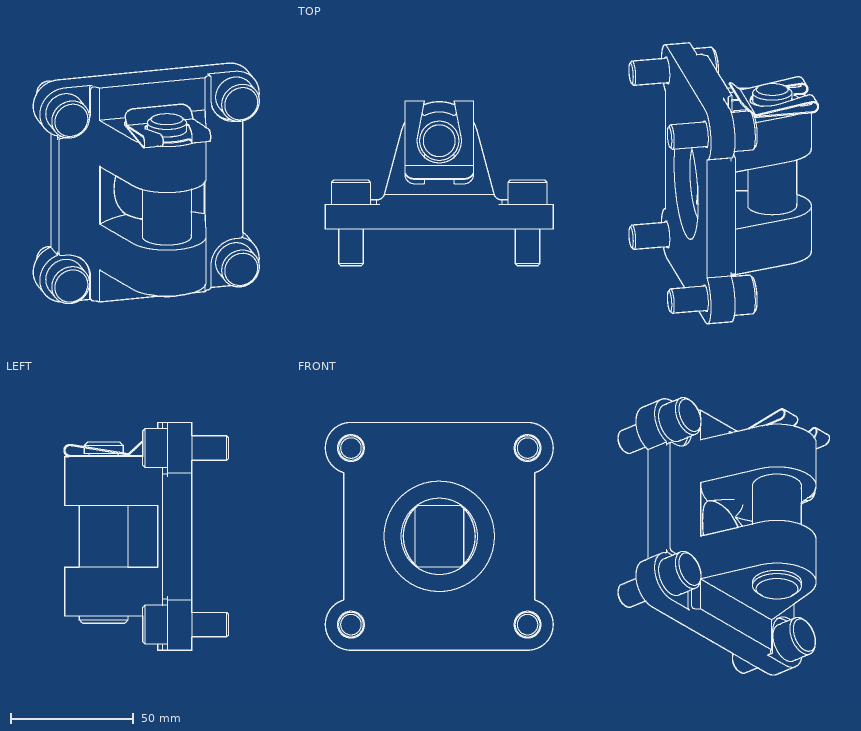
import cadquery as cq
import math


PLATE_WIDTH = 77.9
PLATE_HEIGHT = 93.0
PLATE_THICKNESS = 12.0
SCREW_PITCH = 72.0
EAR_RADIUS = (PLATE_HEIGHT - SCREW_PITCH) / 2
EAR_THICKNESS = 10.0
SEAT_ENTRY_RADIUS = 1.0
SCREW_HOLE_DIAMETER = 11.0

PIN_Y = 36.0
PIN_DIAMETER = 20.0
ARM_TIP_RADIUS = 16.0
ARM_DRAFT = math.radians(15)
ARM_FOOT_RADIUS = 3.0
ARM_GAP = 25.0
ARM_THICKNESS = 20.0
ARM_TOP = ARM_GAP / 2 + ARM_THICKNESS
PAD_TOP = 14.0
SWIVEL_RADIUS = 31.0

COUNTERBORE_DIAMETER = 45.0
COUNTERBORE_DEPTH = 5.0
COUNTERBORE_FILLET = 1.0
CONE_DIAMETER = 31.2
CONE_ANGLE = math.radians(15)

PIN_BOTTOM = -35.5
PIN_TOP = 38.5
PIN_CHAMFER = 1.5
NECK_DIAMETER = 12.0
NECK_LENGTH = 1.2
HEAD_DIAMETER = 16.0

SCREW_DIAMETER = 10.0
SCREW_TIP_Y = -15.0
SCREW_TIP_CHAMFER = 0.8
SCREW_HEAD_DIAMETER = 16.0
SCREW_HEAD_HEIGHT = 10.0
SCREW_HEAD_CHAMFER = 1.0

CLIP_WIDTH = 28.0
CLIP_SHEET = 0.5
LOOP_INNER_RADIUS = 2.0
LOOP_OUTER_RADIUS = LOOP_INNER_RADIUS + CLIP_SHEET
LOOP_Y = 49.8
LOOP_Z = ARM_TOP + LOOP_OUTER_RADIUS
LOWER_LEAF_END_Y = 18.4
UPPER_LEAF_ANGLE = math.radians(9.2)
BEND_Y = 25.8
LIP_ANGLE = math.radians(43)
LIP_END_Y = 20.3
CLIP_CORNER_RADIUS = 4.0
FORK_CORNER_RADIUS = 0.5
HEAD_HOLE_DIAMETER = 18.0
THROAT_ANGLE = math.radians(11)
RIM_RADIUS = 11.8
RIM_CORNER_RADIUS = 1.0

CORNERS = [(sx, sz) for sx in (-1, 1) for sz in (-1, 1)]


def disc(x, z, radius, y_start, y_end):
    """A cylinder along Y."""
    plane = cq.Workplane("XZ", origin=(x, y_start, z))
    return plane.circle(radius).extrude(y_start - y_end)


def block(x_range, y_range, z_range):
    """A box given by its limits along each axis."""
    spans = (x_range, y_range, z_range)
    sizes = [high - low for low, high in spans]
    middles = [(high + low) / 2 for low, high in spans]
    return cq.Workplane("XY").box(*sizes).translate(tuple(middles))



def make_plate():
    """Cross of two full-thickness slabs with a round ear filling each corner."""
    plate = cq.Workplane("XZ").rect(PLATE_WIDTH, SCREW_PITCH).extrude(-PLATE_THICKNESS)
    plate = plate.union(cq.Workplane("XZ").rect(SCREW_PITCH, PLATE_HEIGHT).extrude(-PLATE_THICKNESS))
    for sx, sz in CORNERS:
        plate = plate.union(disc(sx * SCREW_PITCH / 2, sz * SCREW_PITCH / 2, EAR_RADIUS, 0, EAR_THICKNESS))
    return plate


def make_arms():
    """The pad and both arms, swept from one outline with drafted flanks and rounded feet."""
    cos_draft = math.cos(ARM_DRAFT)
    sin_draft = math.sin(ARM_DRAFT)
    tip_x = ARM_TIP_RADIUS * cos_draft
    tip_y = PIN_Y + ARM_TIP_RADIUS * sin_draft
    foot_centre_y = PLATE_THICKNESS + ARM_FOOT_RADIUS
    foot_centre_x = (ARM_TIP_RADIUS + ARM_FOOT_RADIUS + (PIN_Y - foot_centre_y) * sin_draft) / cos_draft
    flank_x = foot_centre_x - ARM_FOOT_RADIUS * cos_draft
    flank_y = foot_centre_y - ARM_FOOT_RADIUS * sin_draft
    middle_angle = math.pi / 4 + ARM_DRAFT / 2
    middle_x = foot_centre_x - ARM_FOOT_RADIUS * math.cos(middle_angle)
    middle_y = foot_centre_y - ARM_FOOT_RADIUS * math.sin(middle_angle)

    outline = (
        cq.Workplane("XY", origin=(0, 0, -PLATE_HEIGHT / 2))
        .moveTo(-foot_centre_x, EAR_THICKNESS)
        .lineTo(foot_centre_x, EAR_THICKNESS)
        .lineTo(foot_centre_x, PLATE_THICKNESS)
        .threePointArc((middle_x, middle_y), (flank_x, flank_y))
        .lineTo(tip_x, tip_y)
        .threePointArc((0, PIN_Y + ARM_TIP_RADIUS), (-tip_x, tip_y))
        .lineTo(-flank_x, flank_y)
        .threePointArc((-middle_x, middle_y), (-foot_centre_x, PLATE_THICKNESS))
        .close()
    )
    arms = outline.extrude(PLATE_HEIGHT)

    across = (-PLATE_WIDTH / 2, PLATE_WIDTH / 2)
    beyond_pad = (PAD_TOP, PIN_Y + 2 * ARM_TIP_RADIUS)
    arms = arms.cut(block(across, beyond_pad, (ARM_TOP, PLATE_HEIGHT)))
    arms = arms.cut(block(across, beyond_pad, (-PLATE_HEIGHT, -ARM_TOP)))
    return arms.cut(block(across, beyond_pad, (-ARM_GAP / 2, ARM_GAP / 2)))


def make_screw_seat():
    """Tool for the recess around the screw at +X +Z, open at both plate edges."""
    axis = SCREW_PITCH / 2
    wall = axis - EAR_RADIUS
    seat_height = PAD_TOP - EAR_THICKNESS
    side = PLATE_WIDTH / 2
    top = PLATE_HEIGHT / 2
    r = SEAT_ENTRY_RADIUS
    r_mid = r * math.sqrt(0.5)
    far = top + SEAT_ENTRY_RADIUS
    return (
        cq.Workplane("XZ", origin=(0, EAR_THICKNESS, 0))
        .moveTo(wall, axis)
        .lineTo(wall, top - r)
        .threePointArc((wall - r + r_mid, top - r + r_mid), (wall - r, top))
        .lineTo(wall - r, far)
        .lineTo(far, far)
        .lineTo(far, wall - r)
        .lineTo(side, wall - r)
        .threePointArc((side - r + r_mid, wall - r + r_mid), (side - r, wall))
        .lineTo(axis, wall)
        .threePointArc(
            (axis - EAR_RADIUS * math.sqrt(0.5), axis - EAR_RADIUS * math.sqrt(0.5)), (wall, axis)
        )
        .close()
        .extrude(-seat_height)
    )


def make_opening():
    """Tool for the filleted counterbore and the cone that narrows behind it."""
    counterbore = disc(0, 0, COUNTERBORE_DIAMETER / 2, 0, COUNTERBORE_DEPTH)
    counterbore = counterbore.faces(">Y").edges().fillet(COUNTERBORE_FILLET)
    cone_length = (CONE_DIAMETER - ARM_GAP) / 2 / math.tan(CONE_ANGLE)
    cone = cq.Solid.makeCone(
        CONE_DIAMETER / 2, ARM_GAP / 2, cone_length,
        pnt=cq.Vector(0, COUNTERBORE_DEPTH, 0), dir=cq.Vector(0, 1, 0),
    )
    return counterbore.union(cq.Workplane(cone))


def make_bracket():
    bracket = make_plate().union(make_arms())
    seat = make_screw_seat()
    for sx, sz in CORNERS:
        placed = seat
        if sx < 0:
            placed = placed.mirror("YZ")
        if sz < 0:
            placed = placed.mirror("XY")
        bracket = bracket.cut(placed)
        hole = disc(sx * SCREW_PITCH / 2, sz * SCREW_PITCH / 2, SCREW_HOLE_DIAMETER / 2, 0, EAR_THICKNESS)
        bracket = bracket.cut(hole)
    swivel = cq.Workplane("XY").center(0, PIN_Y).circle(SWIVEL_RADIUS).extrude(ARM_GAP / 2, both=True)
    pin_hole = cq.Workplane("XY").center(0, PIN_Y).circle(PIN_DIAMETER / 2).extrude(ARM_TOP, both=True)
    return bracket.cut(swivel).cut(make_opening()).cut(pin_hole)



def make_pin():
    """Pin through both arms, with a neck for the clip and a smaller head above it."""
    radius = PIN_DIAMETER / 2
    neck = NECK_DIAMETER / 2
    head = HEAD_DIAMETER / 2
    head_bottom = ARM_TOP + NECK_LENGTH
    half_section = [
        (0, PIN_BOTTOM),
        (radius - PIN_CHAMFER, PIN_BOTTOM),
        (radius, PIN_BOTTOM + PIN_CHAMFER),
        (radius, ARM_TOP),
        (neck, ARM_TOP),
        (neck, head_bottom),
        (head, head_bottom),
        (head, PIN_TOP - PIN_CHAMFER),
        (head - PIN_CHAMFER, PIN_TOP),
        (0, PIN_TOP),
    ]
    pin = cq.Workplane("XZ").polyline(half_section).close().revolve(360, (0, 0), (0, 1))
    return pin.translate((0, PIN_Y, 0))



def make_screw(x, z):
    """Cap screw along Y, its head seated on the ear."""
    shank = disc(x, z, SCREW_DIAMETER / 2, SCREW_TIP_Y, EAR_THICKNESS)
    shank = shank.faces("<Y").chamfer(SCREW_TIP_CHAMFER)
    head = disc(x, z, SCREW_HEAD_DIAMETER / 2, EAR_THICKNESS, EAR_THICKNESS + SCREW_HEAD_HEIGHT)
    head = head.faces(">Y").chamfer(SCREW_HEAD_CHAMFER)
    return shank.union(head)



def make_clip_strip():
    """The bent sheet before it is pierced: lower leaf, loop, sloping upper leaf and raised lip."""
    sin_leaf = math.sin(UPPER_LEAF_ANGLE)
    cos_leaf = math.cos(UPPER_LEAF_ANGLE)

    def on_loop(radius):
        """Point where the upper leaf leaves the loop."""
        return (LOOP_Y - radius * sin_leaf, LOOP_Z + radius * cos_leaf)

    inner_start = on_loop(LOOP_INNER_RADIUS)
    outer_start = on_loop(LOOP_OUTER_RADIUS)
    bend_bottom = (BEND_Y, inner_start[1] - (inner_start[0] - BEND_Y) * math.tan(UPPER_LEAF_ANGLE))
    half_turn = (LIP_ANGLE + UPPER_LEAF_ANGLE) / 2
    mitre = CLIP_SHEET / math.cos(half_turn)
    mitre_lean = (LIP_ANGLE - UPPER_LEAF_ANGLE) / 2
    bend_top = (bend_bottom[0] + mitre * math.sin(mitre_lean), bend_bottom[1] + mitre * math.cos(mitre_lean))
    lip_bottom = (LIP_END_Y, bend_bottom[1] + (BEND_Y - LIP_END_Y) * math.tan(LIP_ANGLE))
    lip_top = (
        lip_bottom[0] + CLIP_SHEET * math.sin(LIP_ANGLE),
        lip_bottom[1] + CLIP_SHEET * math.cos(LIP_ANGLE),
    )
    return (
        cq.Workplane("YZ", origin=(-CLIP_WIDTH / 2, 0, 0))
        .moveTo(LOWER_LEAF_END_Y, ARM_TOP)
        .lineTo(LOOP_Y, ARM_TOP)
        .threePointArc((LOOP_Y + LOOP_OUTER_RADIUS, LOOP_Z), outer_start)
        .lineTo(*bend_top)
        .lineTo(*lip_top)
        .lineTo(*lip_bottom)
        .lineTo(*bend_bottom)
        .lineTo(*inner_start)
        .threePointArc((LOOP_Y + LOOP_INNER_RADIUS, LOOP_Z), (LOOP_Y, ARM_TOP + CLIP_SHEET))
        .lineTo(LOWER_LEAF_END_Y, ARM_TOP + CLIP_SHEET)
        .close()
        .extrude(CLIP_WIDTH)
    )


def make_throat(z_start, z_end):
    """Tool for the gap between the two loop strips; its sides run tangent to the head hole."""
    radius = HEAD_HOLE_DIAMETER / 2
    near_x = radius * math.cos(THROAT_ANGLE)
    near_y = PIN_Y + radius * math.sin(THROAT_ANGLE)
    far_y = LOOP_Y + 2 * LOOP_OUTER_RADIUS
    far_x = near_x - (far_y - near_y) * math.tan(THROAT_ANGLE)
    outline = [(-near_x, near_y), (near_x, near_y), (far_x, far_y), (-far_x, far_y)]
    return cq.Workplane("XY", origin=(0, 0, z_start)).polyline(outline).close().extrude(z_end - z_start)


def make_clip():
    sheet_top = ARM_TOP + CLIP_SHEET
    clip = make_clip_strip()
    clip = clip.faces("<Y").edges("|Z").fillet(CLIP_CORNER_RADIUS)
    clip = clip.faces(">(0, -1, 1)").edges("#X").fillet(CLIP_CORNER_RADIUS)

    keyhole_top = LOOP_Z + 2 * LOOP_OUTER_RADIUS
    head_hole = cq.Workplane("XY", origin=(0, PIN_Y, sheet_top)).circle(HEAD_HOLE_DIAMETER / 2)
    clip = clip.cut(head_hole.extrude(keyhole_top - sheet_top))
    clip = clip.cut(make_throat(sheet_top, keyhole_top))

    rim = cq.Workplane("XY", origin=(0, PIN_Y, ARM_TOP)).circle(RIM_RADIUS).extrude(CLIP_SHEET)
    lower_gap = make_throat(ARM_TOP, sheet_top).cut(rim)
    lower_gap = lower_gap.faces("<Y").edges("|Z").fillet(RIM_CORNER_RADIUS)
    clip = clip.cut(lower_gap)

    neck = NECK_DIAMETER / 2
    fork = (
        cq.Workplane("XY", origin=(0, 0, ARM_TOP))
        .moveTo(-neck, LOWER_LEAF_END_Y)
        .lineTo(-neck, PIN_Y)
        .threePointArc((0, PIN_Y + neck), (neck, PIN_Y))
        .lineTo(neck, LOWER_LEAF_END_Y)
        .close()
        .extrude(CLIP_SHEET)
    )
    clip = clip.cut(fork)
    mouth_corners = cq.selectors.BoxSelector(
        (-neck - CLIP_SHEET, LOWER_LEAF_END_Y - CLIP_SHEET, ARM_TOP),
        (neck + CLIP_SHEET, LOWER_LEAF_END_Y + CLIP_SHEET, sheet_top),
    )
    clip = clip.edges(mouth_corners).edges("|Z").fillet(FORK_CORNER_RADIUS)
    return clip


bracket = make_bracket()
pin = make_pin()
clip = make_clip()
screws = [make_screw(sx * SCREW_PITCH / 2, sz * SCREW_PITCH / 2) for sx, sz in CORNERS]

result = cq.Compound.makeCompound(
    [bracket.val(), pin.val(), clip.val(), *[screw.val() for screw in screws]]
)